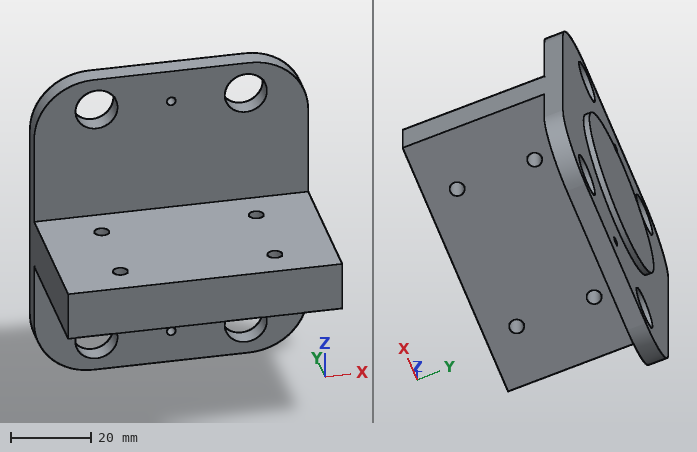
import cadquery as cq

plate_width = 70.0
plate_height = 82.55
plate_thickness = 5.0
corner_radius = 15.0

boss_diameter = 42.8
boss_height = 1.6

shelf_length = 38.05
shelf_thickness = 12.7
shelf_top_z = 2.7

mount_hole_diameter = 10.7
mount_hole_spacing_x = 38.1
pin_hole_diameter = 2.2
plate_hole_spacing_z = 65.5

shelf_hole_diameter = 3.7
shelf_hole_spacing_x = 39.5
shelf_hole_spacing_y = 20.8
shelf_hole_front_margin = 8.5


def make_plate():
    """Rounded plate with its large clearance holes and small pin holes."""
    plate = (
        cq.Workplane("XZ")
        .rect(plate_width, plate_height)
        .extrude(-plate_thickness)
        .edges("|Y")
        .fillet(corner_radius)
    )
    mount_holes = (
        cq.Workplane("XZ")
        .rect(mount_hole_spacing_x, plate_hole_spacing_z, forConstruction=True)
        .vertices()
        .circle(mount_hole_diameter / 2)
        .extrude(-plate_thickness)
    )
    pin_holes = (
        cq.Workplane("XZ")
        .rarray(0.8, plate_hole_spacing_z, 1, 2)
        .circle(pin_hole_diameter / 2)
        .extrude(-plate_thickness)
    )
    return plate.cut(mount_holes).cut(pin_holes)


def make_boss():
    """Shallow disc centred on the back face of the plate."""
    return (
        cq.Workplane("XZ", origin=(0, plate_thickness, 0))
        .circle(boss_diameter / 2)
        .extrude(-boss_height)
    )


def make_shelf():
    """Full-width shelf with four vertical through holes."""
    shelf = (
        cq.Workplane("XY", origin=(0, -shelf_length / 2, shelf_top_z))
        .rect(plate_width, shelf_length)
        .extrude(-shelf_thickness)
    )
    hole_centre_y = -shelf_length + shelf_hole_front_margin + shelf_hole_spacing_y / 2
    holes = (
        cq.Workplane("XY", origin=(0, hole_centre_y, shelf_top_z))
        .rect(shelf_hole_spacing_x, shelf_hole_spacing_y, forConstruction=True)
        .vertices()
        .circle(shelf_hole_diameter / 2)
        .extrude(-shelf_thickness)
    )
    return shelf.cut(holes)


result = make_plate().union(make_boss()).union(make_shelf())